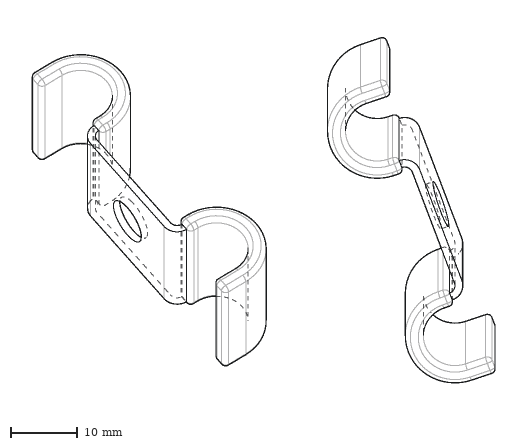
import math

import cadquery as cq

sheet = 1.2
strip_height = 19.02
hole_diameter = 7.14

cushion = 0.775
bore_radius = 4.78
hook_offset = 17.45
depth = 11.51
inner_leg = 2 * cushion

wall = sheet + 2 * cushion
outer_radius = bore_radius + wall
hook_height = strip_height + 2 * cushion
outer_leg = depth - outer_radius
bend_outer = outer_leg - inner_leg
bend_inner = bend_outer - sheet
bend_y = -inner_leg
web_outer_y = -outer_leg
web_inner_y = web_outer_y + sheet
strip_end_x = hook_offset - bore_radius - cushion
bend_x = strip_end_x - bend_outer


def make_hook():
    """Cushioned hook on the +X side: a half ring with two straight legs, all edges rounded."""
    outer_left = hook_offset - outer_radius
    outer_right = hook_offset + outer_radius
    inner_left = hook_offset - bore_radius
    inner_right = hook_offset + bore_radius
    hook = (
        cq.Workplane("XY")
        .moveTo(outer_left, -inner_leg)
        .lineTo(outer_left, 0)
        .threePointArc((hook_offset, outer_radius), (outer_right, 0))
        .lineTo(outer_right, -outer_leg)
        .lineTo(inner_right, -outer_leg)
        .lineTo(inner_right, 0)
        .threePointArc((hook_offset, bore_radius), (inner_left, 0))
        .lineTo(inner_left, -inner_leg)
        .close()
        .extrude(hook_height / 2, both=True)
    )
    leg_end_edges = hook.faces("|Y").edges("|Z")
    rim_edges = hook.faces("|Z").edges()
    return leg_end_edges.add(rim_edges).fillet(cushion)


def make_strip():
    """Bare strip between the hooks: a flat web with a quarter bend at each end."""
    arc_mid = math.cos(math.radians(45))
    outer_mid_offset = bend_outer * arc_mid
    outer_mid_x = bend_x + outer_mid_offset
    outer_mid_y = bend_y - outer_mid_offset
    inner_mid_offset = bend_inner * arc_mid
    inner_mid_x = bend_x + inner_mid_offset
    inner_mid_y = bend_y - inner_mid_offset
    strip_face_x = strip_end_x - sheet
    return (
        cq.Workplane("XY")
        .moveTo(-bend_x, web_outer_y)
        .lineTo(bend_x, web_outer_y)
        .threePointArc((outer_mid_x, outer_mid_y), (strip_end_x, bend_y))
        .lineTo(strip_face_x, bend_y)
        .threePointArc((inner_mid_x, inner_mid_y), (bend_x, web_inner_y))
        .lineTo(-bend_x, web_inner_y)
        .threePointArc((-inner_mid_x, inner_mid_y), (-strip_face_x, bend_y))
        .lineTo(-strip_end_x, bend_y)
        .threePointArc((-outer_mid_x, outer_mid_y), (-bend_x, web_outer_y))
        .close()
        .extrude(strip_height / 2, both=True)
    )


def make_screw_hole():
    """Cutter for the round hole through the middle of the web."""
    return (
        cq.Workplane("XZ", origin=(0, web_inner_y, 0))
        .circle(hole_diameter / 2)
        .extrude(sheet)
    )


hook = make_hook()
strip = make_strip().cut(make_screw_hole())
result = strip.union(hook).union(hook.mirror("YZ"))